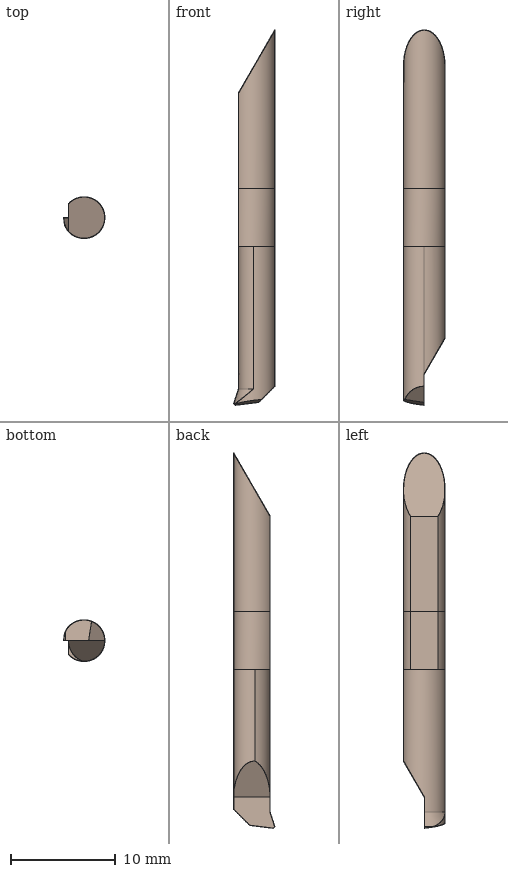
import cadquery as cq
import math

diameter = 4.0
radius = diameter / 2
length = 35.9
flat_x = -1.5
collar_bottom = 15.2
collar_top = 20.72
bevel_angle = 60.0

relief_radius = 2.1
relief_offset = 0.6
half_cut_top = 2.98
half_cut_lean = 30.0

flare_top = 1.58
flare_angle = 18.0
tip_x = -1.8
nose_chamfer = 0.16
rise_angle = 7.0
clearance_angle = 7.7
back_chamfer_height = 1.83

margin = 0.72
reach = radius + margin


def flatted_bar(bottom, top):
    """Round bar between two heights with the flat on its -X side."""
    bar = cq.Workplane("XY").workplane(offset=bottom).circle(radius).extrude(top - bottom)
    keep = (
        cq.Workplane("XY")
        .workplane(offset=bottom)
        .box(reach - flat_x, 2 * reach, top - bottom, centered=(False, True, False))
        .translate((flat_x, 0, 0))
    )
    return bar.intersect(keep)


def side_prism(points):
    """Prism of an XZ outline that passes through the whole bar along Y."""
    return cq.Workplane("XZ").polyline(points).close().extrude(reach, both=True)


def make_shank():
    """Upper flatted bar with the long sloping bevel."""
    slope = math.tan(math.radians(bevel_angle))
    bevel = side_prism([
        (radius, length),
        (-reach, length - (radius + reach) * slope),
        (-reach, length + margin),
        (radius, length + margin),
    ])
    return flatted_bar(collar_top, length).cut(bevel)


def make_collar():
    """Plain flatted bar between the shank and the cutter."""
    return flatted_bar(collar_bottom, collar_top)


def relief_body():
    """Offset cylinder that limits the neck and widens into a cone below."""
    flare_radius = relief_radius + flare_top * math.tan(math.radians(flare_angle))
    return (
        cq.Workplane("XZ")
        .moveTo(0, 0)
        .lineTo(flare_radius, 0)
        .lineTo(relief_radius, flare_top)
        .lineTo(relief_radius, collar_bottom)
        .lineTo(0, collar_bottom)
        .close()
        .revolve(360, (0, 0, 0), (0, 1, 0))
        .translate((relief_offset, 0, 0))
    )


def half_cut():
    """Removes the +Y half of the head and slopes out through the neck."""
    run_out = half_cut_top + reach / math.tan(math.radians(half_cut_lean))
    return (
        cq.Workplane("YZ")
        .polyline([(0, -margin), (0, half_cut_top), (reach, run_out), (reach, -margin)])
        .close()
        .extrude(reach, both=True)
    )


def bottom_cut():
    """Trims the bottom face, sloped in X and Y, and the chamfered nose."""
    rise = (reach - tip_x) * math.tan(math.radians(rise_angle))
    lift = reach * math.tan(math.radians(clearance_angle))
    outer_x = tip_x - nose_chamfer - margin

    def outline(y, height):
        points = [
            (outer_x, -margin),
            (outer_x, tip_x - outer_x),
            (tip_x, 0),
            (reach, rise),
            (reach, -margin),
        ]
        return cq.Wire.makePolygon([cq.Vector(x, y, z + height) for x, z in points], close=True)

    return cq.Workplane(cq.Solid.makeLoft([outline(0, 0), outline(-reach, lift)], True))


def back_chamfer():
    """45 degree chamfer at the lower +X side."""
    return side_prism([
        (radius - back_chamfer_height - margin, -margin),
        (radius + margin, back_chamfer_height + margin),
        (radius + margin, -margin),
    ])


def make_cutter():
    """Relieved neck with the half-round cutting head."""
    bar = cq.Workplane("XY").circle(radius).extrude(collar_bottom)
    neck = bar.intersect(relief_body()).cut(half_cut())
    return neck.cut(bottom_cut()).cut(back_chamfer())


shank = make_shank()
collar = make_collar()
cutter = make_cutter()

result = cq.Compound.makeCompound([body.solids().val() for body in (shank, collar, cutter)])